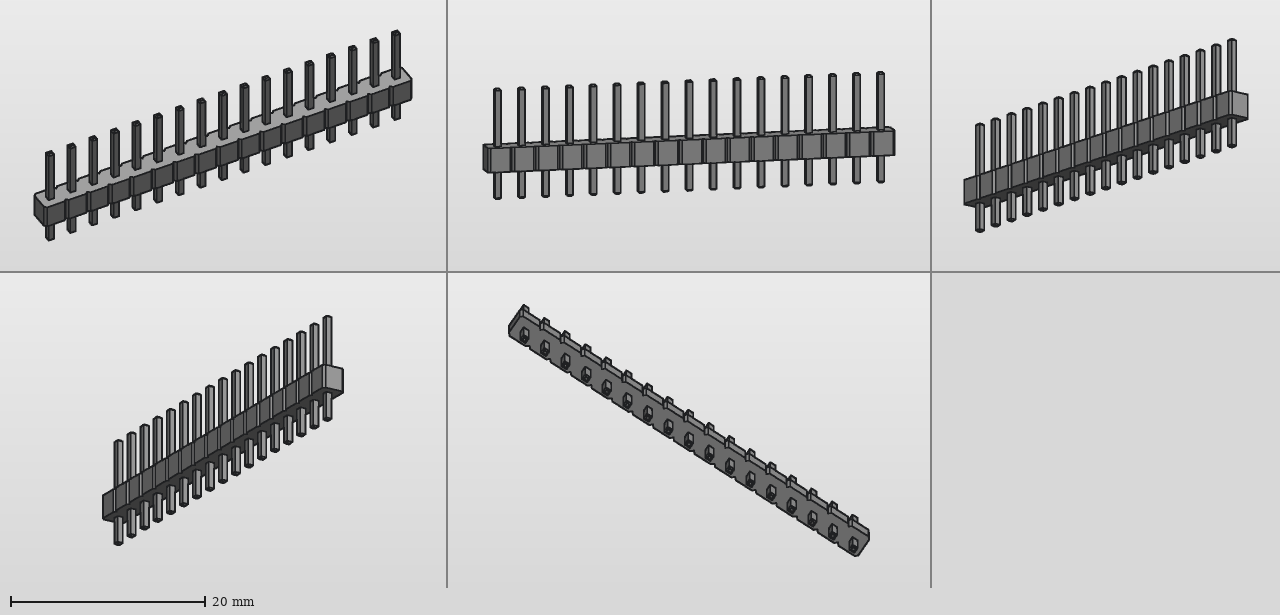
import cadquery as cq

pin_count = 17
pitch = 2.54
housing_width = pitch
housing_height = 2.54
cell_chamfer = pitch / 10

pin_width = 0.64
pin_tip_chamfer = pin_width / 4
pin_below = 3.0
pin_above = 6.0
pin_length = pin_below + housing_height + pin_above

first_pin_y = -(pin_count - 1) * pitch / 2


def housing_cell(y):
    """One block of the housing, with chamfered vertical corners, standing on Z = 0."""
    block = cq.Workplane("XY").box(housing_width, pitch, housing_height, centered=(True, True, False))
    return block.edges("|Z").chamfer(cell_chamfer).translate((0, y, 0))


def pin(y):
    """One square pin through the housing, with both tips chamfered all round."""
    bar = cq.Workplane("XY").box(pin_width, pin_width, pin_length, centered=(True, True, False))
    bar = bar.faces("<Z or >Z").edges().chamfer(pin_tip_chamfer)
    return bar.translate((0, y, -pin_below))


result = None
for index in range(pin_count):
    pin_y = first_pin_y + index * pitch
    position = housing_cell(pin_y).union(pin(pin_y))
    result = position if result is None else result.union(position)